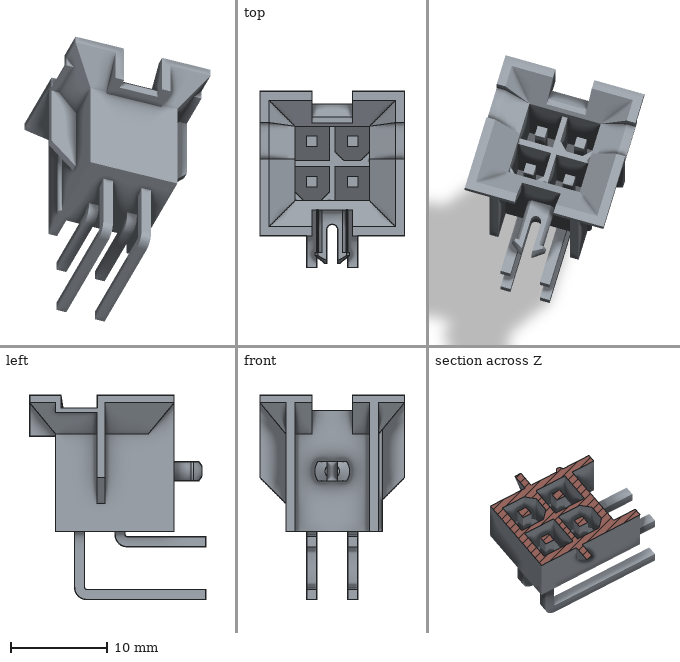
import cadquery as cq
import math


WIDTH = 15.0
DEPTH = 18.3
TOP = 21.23

BODY_BOTTOM = 7.07
FLOOR = 8.5
DIVIDER_TOP = 17.66

RIM = WIDTH / 2
RIM_INNER = 6.55
BODY = 4.82
CAVITY = 3.86
WALL = BODY - CAVITY

RIM_BOTTOM = 20.45
FLARE_BOTTOM = 17.2
LEAD_IN_BOTTOM = 18.77
LEAD_IN_SLOPE = (TOP - LEAD_IN_BOTTOM) / (RIM_INNER - CAVITY)

OPENING_HALF = 2.1
REAR_LEDGE_Y = 4.22
REAR_LEDGE_Z = LEAD_IN_BOTTOM + LEAD_IN_SLOPE * (REAR_LEDGE_Y - CAVITY)

LATCH_TIP_Y = 6.2
LATCH_BOTTOM = 16.95
LATCH_TIP_Z = REAR_LEDGE_Z - (LATCH_TIP_Y - BODY)

NOTCH_FRONT = 0.49
NOTCH_REAR = 4.25
NOTCH_Z = 19.9
NOTCH_UNDERSIDE = 19.45

GUSSET_THICK = 0.79
GUSSET_TIP = 12.65
GUSSET_BOTTOM = GUSSET_TIP - (RIM - BODY)

KEY_RADIUS = 0.38
KEY_Y = -3.86

DIVIDER_X = 0.57
DIVIDER_Y = 0.62
CELL_CHAMFER = 0.91

PIN = 1.06
PIN_X = 2.12
PIN_PITCH_Y = 4.2
REAR_PIN_Y = 2.31
PIN_TOP = 15.29
PIN_END_Y = RIM - DEPTH
UPPER_PIN_Z = 5.48
BEND_INNER = 0.21
BEND_OUTER = BEND_INNER + PIN

PEG_Z = 13.33
PEG_RADIUS = 1.46
PEG_HEAD_RADIUS = 1.8
PEG_TIP_RADIUS = 0.75
PEG_HALF_HEIGHT = 1.0
PEG_HEAD_Y = -9.25
PEG_CONE_Y = -9.53
PEG_TIP_Y = -10.4
PEG_SLOT = 1.13
PEG_SLOT_END_Y = -6.33

CLEAR = 0.21


def box(x0, x1, y0, y1, z0, z1):
    """Box between two opposite corners."""
    return cq.Workplane("XY").box(x1 - x0, y1 - y0, z1 - z0, centered=False).translate((x0, y0, z0))


def square_taper(half_low, half_high, z_low, z_high):
    """Frustum with square ends."""
    return (
        cq.Workplane("XY", origin=(0, 0, z_low))
        .rect(2 * half_low, 2 * half_low)
        .workplane(offset=z_high - z_low)
        .rect(2 * half_high, 2 * half_high)
        .loft(ruled=True, combine=True)
    )


def mirrored_x(shape):
    """The shape together with its mirror image across X = 0."""
    return shape.union(shape.mirror("YZ"))


def side_additions():
    """On the +X side: front rib, gusset and the dropped rim under the notch."""
    rib = box(CAVITY, BODY, -RIM, -CAVITY, BODY_BOTTOM, TOP)
    gusset = (
        cq.Workplane("XZ", origin=(0, NOTCH_FRONT, 0))
        .moveTo(CAVITY, GUSSET_BOTTOM)
        .lineTo(BODY, GUSSET_BOTTOM)
        .lineTo(RIM, GUSSET_TIP)
        .lineTo(RIM, TOP)
        .lineTo(CAVITY, TOP)
        .close()
        .extrude(GUSSET_THICK)
    )
    dropped_rim = box(BODY, RIM, NOTCH_FRONT, BODY, NOTCH_UNDERSIDE, TOP)
    return rib.union(gusset).union(dropped_rim)


def key_rib():
    """Half-round vertical rib on the +X wall, running up into the flare."""
    height = LEAD_IN_BOTTOM - BODY_BOTTOM
    return cq.Workplane("XY", origin=(BODY, KEY_Y, BODY_BOTTOM)).circle(KEY_RADIUS).extrude(height)


def latch_web():
    """Web under the rim, flush with the +X end of the rear opening."""
    return box(OPENING_HALF, OPENING_HALF + WALL, CAVITY, RIM, LATCH_BOTTOM, TOP)


def latch():
    """Ramped latch on the rear wall, spanning the rear opening."""
    return (
        cq.Workplane("YZ", origin=(-OPENING_HALF, 0, 0))
        .moveTo(CAVITY + WALL / 2, LATCH_BOTTOM)
        .lineTo(LATCH_TIP_Y, LATCH_BOTTOM)
        .lineTo(LATCH_TIP_Y, LATCH_TIP_Z)
        .lineTo(BODY, REAR_LEDGE_Z)
        .lineTo(CAVITY + WALL / 2, REAR_LEDGE_Z)
        .close()
        .extrude(2 * OPENING_HALF)
    )


def rim_openings():
    """Gaps through the front and rear of the rim."""
    outside = RIM + CLEAR
    above = TOP + CLEAR
    front = box(-OPENING_HALF, OPENING_HALF, -outside, -BODY, FLARE_BOTTOM, above)
    rear = box(-OPENING_HALF, OPENING_HALF, REAR_LEDGE_Y, outside, REAR_LEDGE_Z, above)
    rear_flare = box(-OPENING_HALF, OPENING_HALF, BODY, outside, FLARE_BOTTOM, above)
    return front.union(rear).union(rear_flare)


def side_notch():
    """Notch in the +X side: flat at the edge, then sloping down to the cavity."""
    outside = RIM + CLEAR
    above = TOP + CLEAR
    depth = (
        cq.Workplane("XZ", origin=(0, BODY, 0))
        .moveTo(CAVITY, LEAD_IN_BOTTOM)
        .lineTo(RIM_INNER, NOTCH_Z)
        .lineTo(outside, NOTCH_Z)
        .lineTo(outside, above)
        .lineTo(CAVITY, above)
        .close()
        .extrude(BODY)
    )
    plan = (
        cq.Workplane("XY", origin=(0, 0, LEAD_IN_BOTTOM - CLEAR))
        .moveTo(CAVITY, NOTCH_FRONT)
        .lineTo(outside, NOTCH_FRONT)
        .lineTo(outside, NOTCH_REAR)
        .lineTo(RIM_INNER, NOTCH_REAR)
        .lineTo(CAVITY, CAVITY)
        .close()
        .extrude(above - LEAD_IN_BOTTOM + CLEAR)
    )
    return depth.intersect(plan)


def cell(x_side, y_side):
    """One contact cell; the cells on one diagonal have two corners cut off."""
    x_near, x_far = sorted((x_side * DIVIDER_X / 2, x_side * CAVITY))
    y_near, y_far = sorted((y_side * DIVIDER_Y / 2, y_side * CAVITY))
    pocket = box(x_near, x_far, y_near, y_far, FLOOR, DIVIDER_TOP)
    if x_side == y_side:
        pocket = pocket.faces("<Y").edges("|Z").chamfer(CELL_CHAMFER)
    return pocket


def pin(x, y, z):
    """Square pin at (x, y), bent forward so that its leg rests on height z."""
    front = y - PIN / 2
    rear = y + PIN / 2
    bend_y = front - BEND_INNER
    bend_z = z + PIN + BEND_INNER
    diagonal = math.sqrt(0.5)
    return (
        cq.Workplane("YZ", origin=(x - PIN / 2, 0, 0))
        .moveTo(rear, PIN_TOP)
        .lineTo(rear, bend_z)
        .threePointArc((bend_y + BEND_OUTER * diagonal, bend_z - BEND_OUTER * diagonal), (bend_y, z))
        .lineTo(PIN_END_Y, z)
        .lineTo(PIN_END_Y, z + PIN)
        .lineTo(bend_y, z + PIN)
        .threePointArc((bend_y + BEND_INNER * diagonal, bend_z - BEND_INNER * diagonal), (front, bend_z))
        .lineTo(front, PIN_TOP)
        .close()
        .extrude(PIN)
    )


def peg():
    """Round peg with a conical head, flat top and bottom, split by a slot."""
    root_y = -(CAVITY + WALL / 2)
    turned = (
        cq.Workplane("XY")
        .moveTo(0, root_y)
        .lineTo(PEG_RADIUS, root_y)
        .lineTo(PEG_RADIUS, PEG_HEAD_Y)
        .lineTo(PEG_HEAD_RADIUS, PEG_HEAD_Y)
        .lineTo(PEG_HEAD_RADIUS, PEG_CONE_Y)
        .lineTo(PEG_TIP_RADIUS, PEG_TIP_Y)
        .lineTo(0, PEG_TIP_Y)
        .close()
        .revolve(360, (0, 0, 0), (0, 1, 0))
    )
    flats = box(-RIM, RIM, PEG_TIP_Y, root_y, -PEG_HALF_HEIGHT, PEG_HALF_HEIGHT)
    slot_length = PEG_SLOT_END_Y - PEG_TIP_Y + PEG_SLOT
    slot = (
        cq.Workplane("XY", origin=(0, PEG_SLOT_END_Y - slot_length / 2, 0))
        .slot2D(slot_length, PEG_SLOT, 90)
        .extrude(PEG_HEAD_RADIUS, both=True)
    )
    return turned.intersect(flats).cut(slot).translate((0, 0, PEG_Z))


housing = box(-BODY, BODY, -BODY, BODY, BODY_BOTTOM, TOP)
housing = housing.union(square_taper(BODY, RIM, FLARE_BOTTOM, RIM_BOTTOM))
housing = housing.union(box(-RIM, RIM, -RIM, RIM, RIM_BOTTOM, TOP))
housing = housing.cut(rim_openings())
housing = housing.union(mirrored_x(side_additions()))
housing = housing.union(mirrored_x(latch_web()))
housing = housing.union(latch())
housing = housing.union(key_rib())

housing = housing.cut(square_taper(CAVITY, RIM_INNER, LEAD_IN_BOTTOM, TOP))
housing = housing.cut(mirrored_x(side_notch()))
housing = housing.cut(box(-CAVITY, CAVITY, -CAVITY, CAVITY, DIVIDER_TOP, TOP))
for x_side in (-1, 1):
    for y_side in (-1, 1):
        housing = housing.cut(cell(x_side, y_side))

result = housing.union(peg())
for x in (-PIN_X, PIN_X):
    result = result.union(pin(x, REAR_PIN_Y, 0))
    result = result.union(pin(x, REAR_PIN_Y - PIN_PITCH_Y, UPPER_PIN_Z))